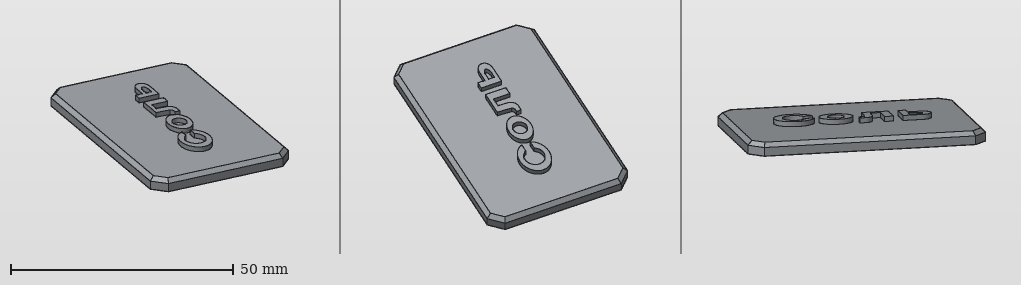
import cadquery as cq

length = 55.0
width = 35.0
total_height = 4.2
plate_height = 3.0
corner_chamfer = 3.0
top_chamfer = 1.0

relief = total_height - plate_height
bar_bottom = -2.05
bar_top = 3.0

stem_left, stem_right = -13.0, -11.15
loop_bottom = -0.3
loop_round_start = -15.85
loop_end = -18.05
loop_hole_bottom, loop_hole_top = 0.65, 2.1
loop_hole_round_start = -14.35
loop_hole_end = -16.05

hook_left, hook_right = -8.9, -2.75
upright_right = -6.9
leg_left = -4.55
foot_top = -1.0
hook_tip_x = -1.15
hook_tip_bottom, hook_tip_top = 2.0, 3.15
outer_bend_start, outer_bend_middle, outer_bend_end_x = (-4.45, 1.6), (-3.95, 2.55), -2.75
inner_bend_start_x, inner_bend_middle, inner_bend_end = -1.75, (-2.25, 1.8), (-2.6, 1.4)

oval_center = (3.8, 0.5)
oval_radii = (3.9, 2.75)
oval_hole_radii = (1.85, 1.65)

open_center = (13.25, -0.4)
open_radii = (4.7, 3.65)
open_hole_radii = (2.65, 2.35)
mouth_height = 2.1


def make_plate():
    """Plate with cut corners and a chamfered top edge."""
    return (
        cq.Workplane("XY")
        .rect(length, width)
        .extrude(plate_height)
        .edges("|Z")
        .chamfer(corner_chamfer)
        .faces(">Z")
        .chamfer(top_chamfer)
    )


def plate_top():
    return cq.Workplane("XY", origin=(0, 0, plate_height))


def make_block(left, right, bottom, top):
    middle = ((left + right) / 2, (bottom + top) / 2)
    return plate_top().center(*middle).rect(right - left, top - bottom).extrude(relief)


def make_rounded_tab(right, round_start, end, bottom, top):
    """Block with a square right end and a half-elliptical left end."""
    middle = (bottom + top) / 2
    block = make_block(round_start, right, bottom, top)
    tip = (
        plate_top()
        .center(round_start, middle)
        .ellipse(round_start - end, (top - bottom) / 2)
        .extrude(relief)
    )
    return block.union(tip)


def make_looped_stem():
    stem = make_block(stem_left, stem_right, bar_bottom, bar_top)
    loop = make_rounded_tab(stem_left, loop_round_start, loop_end, loop_bottom, bar_top)
    hole = make_rounded_tab(
        stem_left, loop_hole_round_start, loop_hole_end, loop_hole_bottom, loop_hole_top
    )
    return stem.union(loop.cut(hole))


def make_hook():
    return (
        plate_top()
        .moveTo(hook_left, bar_bottom)
        .lineTo(hook_left, bar_top)
        .lineTo(upright_right, bar_top)
        .lineTo(upright_right, foot_top)
        .lineTo(leg_left, foot_top)
        .lineTo(*outer_bend_start)
        .threePointArc(outer_bend_middle, (outer_bend_end_x, hook_tip_top))
        .lineTo(hook_tip_x, hook_tip_top)
        .lineTo(hook_tip_x, hook_tip_bottom)
        .lineTo(inner_bend_start_x, hook_tip_bottom)
        .threePointArc(inner_bend_middle, inner_bend_end)
        .lineTo(hook_right, foot_top)
        .lineTo(hook_right, bar_bottom)
        .close()
        .extrude(relief)
    )


def make_oval_ring(center, radii, hole_radii):
    outer = plate_top().center(*center).ellipse(*radii).extrude(relief)
    hole = plate_top().center(*center).ellipse(*hole_radii).extrude(relief)
    return outer.cut(hole)


def make_open_ring():
    ring = make_oval_ring(open_center, open_radii, open_hole_radii)
    mouth_x = open_center[0] - open_radii[0] / 2
    mouth = (
        plate_top()
        .center(mouth_x, open_center[1])
        .rect(open_radii[0], mouth_height)
        .extrude(relief)
    )
    return ring.cut(mouth)


result = (
    make_plate()
    .union(make_looped_stem())
    .union(make_hook())
    .union(make_oval_ring(oval_center, oval_radii, oval_hole_radii))
    .union(make_open_ring())
)